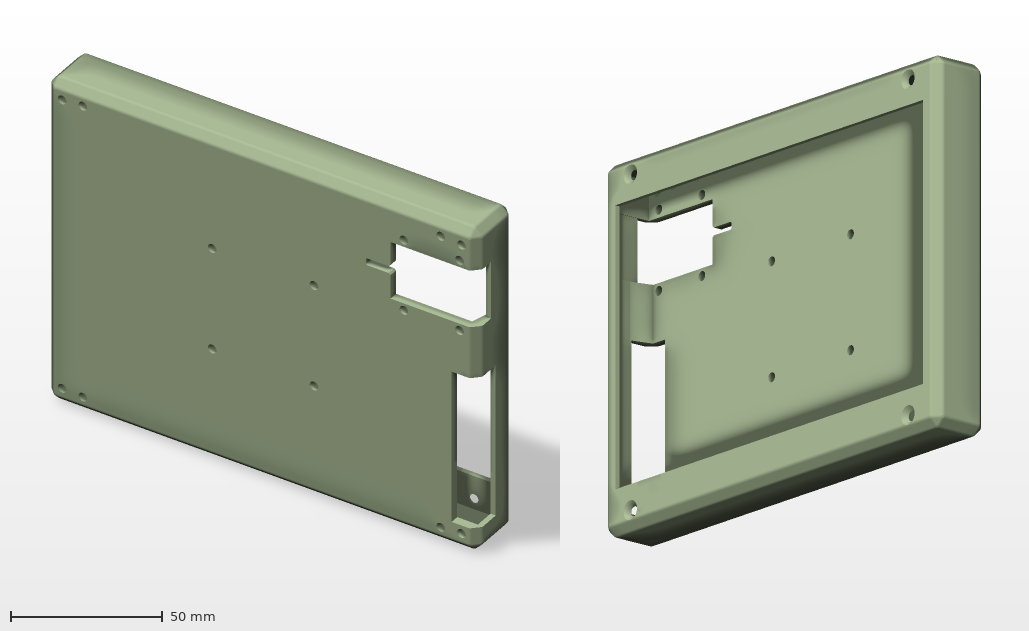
import cadquery as cq
LENGTH = 169.5
DEPTH = 22.0
HEIGHT = 128.5
EDGE_CHAMFER = 3.0
EDGE_ROUNDING = 1.5

BACK_THICKNESS = 3.4
WALL_THICKNESS = 2.0
LID_THICKNESS = 1.9

BACK_Y = -DEPTH / 2
FRONT_Y = DEPTH / 2
CAVITY_Y = BACK_Y + BACK_THICKNESS
SEAM_Y = FRONT_Y - LID_THICKNESS
INNER_WALL_X = LENGTH / 2 - WALL_THICKNESS

WINDOW_LENGTH = 156.0
WINDOW_HEIGHT = 98.0

HOLE_DIAMETER = 3.4
MOUNT_PITCH = 40.0
MOUNT_CENTRE_X = 0.5
CORNER_HOLE_X = 78.5
CORNER_HOLE_Z = 57.5
LID_SCREW_X = 70.3
LID_SCREW_Z = 58.0
COUNTERSINK_DIAMETER = 6.8

CONNECTOR_Z = 37.1
CONNECTOR_HEIGHT = 22.5
CONNECTOR_LEFT_X = 50.5
CONNECTOR_FLOOR_Y = -2.9
CONNECTOR_WALL_THICKNESS = 1.9
CONNECTOR_SCREW_X = 66.8
CONNECTOR_SCREW_PITCH_X = 21.9
CONNECTOR_SCREW_PITCH_Z = 28.0
SLIT_LEFT_X = 40.8
SLIT_WIDTH = 2.7
SLIT_END_ROUNDING = 0.7
SLIT_MOUTH_CHAMFER = 0.7

SIDE_OPENING_LEFT_X = 74.5
SIDE_OPENING_TOP_Z = 5.6
SIDE_OPENING_BOTTOM_Z = -54.2
SIDE_OPENING_FLOOR_Y = 0.0

PAD_THICKNESS = 2.2
PAD_END_Y = 0.5


def block(x_range, y_range, z_range):
    """Box between the given limits along each axis."""
    (x0, x1), (y0, y1), (z0, z1) = x_range, y_range, z_range
    return cq.Workplane("XY").box(x1 - x0, y1 - y0, z1 - z0, centered=False).translate((x0, y0, z0))


def rods(points, diameter, y0, y1):
    """Cylinders along Y at the given (x, z) points."""
    return (
        cq.Workplane("XZ", origin=(0, y0, 0))
        .pushPoints(points)
        .circle(diameter / 2)
        .extrude(y0 - y1)
    )


def grid(x_centre, x_pitch, z_centre, z_pitch):
    """Four (x, z) points on the corners of a rectangle."""
    return [
        (x_centre + i * x_pitch / 2, z_centre + k * z_pitch / 2)
        for i in (-1, 1)
        for k in (-1, 1)
    ]


LID_SCREWS = grid(0, 2 * LID_SCREW_X, 0, 2 * LID_SCREW_Z)


def case_envelope():
    """Closed outer shape with bevelled and rounded edges."""
    return (
        cq.Workplane("XY")
        .box(LENGTH, DEPTH, HEIGHT)
        .edges()
        .chamfer(EDGE_CHAMFER)
        .edges()
        .fillet(EDGE_ROUNDING)
    )


def wall_pad():
    """Wedge on the inside of the +X wall, thickest at the back plate."""
    bottom_z = SIDE_OPENING_TOP_Z
    top_z = CONNECTOR_Z - CONNECTOR_HEIGHT / 2
    return (
        cq.Workplane("XY", origin=(0, 0, bottom_z))
        .moveTo(INNER_WALL_X, PAD_END_Y)
        .lineTo(INNER_WALL_X, CAVITY_Y)
        .lineTo(INNER_WALL_X - PAD_THICKNESS, CAVITY_Y)
        .close()
        .extrude(top_z - bottom_z)
    )


def connector_opening():
    """Opening through the back and side wall, with a slit on its left and a relief inside the wall."""
    half = CONNECTOR_HEIGHT / 2
    opening = block(
        (CONNECTOR_LEFT_X, LENGTH),
        (BACK_Y, CONNECTOR_FLOOR_Y),
        (CONNECTOR_Z - half, CONNECTOR_Z + half),
    )
    wall_relief = block(
        (CONNECTOR_LEFT_X, LENGTH / 2 - CONNECTOR_WALL_THICKNESS),
        (CONNECTOR_FLOOR_Y, SEAM_Y),
        (CONNECTOR_Z - half, CONNECTOR_Z + half),
    )
    slit = block(
        (SLIT_LEFT_X, CONNECTOR_LEFT_X),
        (BACK_Y, CONNECTOR_FLOOR_Y),
        (CONNECTOR_Z - SLIT_WIDTH / 2, CONNECTOR_Z + SLIT_WIDTH / 2),
    )
    slit = slit.edges("|Y and <X").fillet(SLIT_END_ROUNDING)
    half_mouth = SLIT_WIDTH / 2 + SLIT_MOUTH_CHAMFER
    mouth = (
        cq.Workplane("XZ", origin=(0, BACK_Y, 0))
        .moveTo(CONNECTOR_LEFT_X, CONNECTOR_Z - half_mouth)
        .lineTo(CONNECTOR_LEFT_X, CONNECTOR_Z + half_mouth)
        .lineTo(CONNECTOR_LEFT_X - half_mouth, CONNECTOR_Z)
        .close()
        .extrude(BACK_Y - CONNECTOR_FLOOR_Y)
    )
    return opening.union(wall_relief).union(slit).union(mouth)


def side_opening():
    """Long opening through the back and the side wall."""
    return block(
        (SIDE_OPENING_LEFT_X, LENGTH),
        (BACK_Y, SIDE_OPENING_FLOOR_Y),
        (SIDE_OPENING_BOTTOM_Z, SIDE_OPENING_TOP_Z),
    )


def back_holes():
    """All the round holes through the back plate."""
    points = (
        LID_SCREWS
        + grid(MOUNT_CENTRE_X, MOUNT_PITCH, 0, MOUNT_PITCH)
        + grid(0, 2 * CORNER_HOLE_X, 0, 2 * CORNER_HOLE_Z)
        + grid(CONNECTOR_SCREW_X, CONNECTOR_SCREW_PITCH_X, CONNECTOR_Z, CONNECTOR_SCREW_PITCH_Z)
    )
    return rods(points, HOLE_DIAMETER, BACK_Y, CAVITY_Y)


def make_housing():
    """Tray with the back plate and the four side walls."""
    tray = case_envelope().intersect(
        block((-LENGTH, LENGTH), (BACK_Y, SEAM_Y), (-HEIGHT, HEIGHT))
    )
    half_height = HEIGHT / 2 - WALL_THICKNESS
    cavity = block(
        (-INNER_WALL_X, INNER_WALL_X),
        (CAVITY_Y, SEAM_Y),
        (-half_height, half_height),
    )
    return (
        tray.cut(cavity)
        .union(wall_pad())
        .cut(connector_opening())
        .cut(side_opening())
        .cut(back_holes())
    )


def countersinks():
    """Cones that open the lid screw holes at the front face."""
    cone_depth = (COUNTERSINK_DIAMETER - HOLE_DIAMETER) / 2
    cone = cq.Solid.makeCone(
        HOLE_DIAMETER / 2,
        COUNTERSINK_DIAMETER / 2,
        cone_depth,
        pnt=cq.Vector(0, FRONT_Y - cone_depth, 0),
        dir=cq.Vector(0, 1, 0),
    )
    places = [cq.Location(cq.Vector(x, 0, z)) for x, z in LID_SCREWS]
    return cq.Compound.makeCompound([cone.moved(place) for place in places])


def make_lid():
    """Front frame around the display window."""
    plate = case_envelope().intersect(
        block((-LENGTH, LENGTH), (SEAM_Y, FRONT_Y), (-HEIGHT, HEIGHT))
    )
    window = cq.Workplane("XY").box(WINDOW_LENGTH, 2 * DEPTH, WINDOW_HEIGHT)
    return (
        plate.cut(window)
        .cut(rods(LID_SCREWS, HOLE_DIAMETER, SEAM_Y, FRONT_Y))
        .cut(cq.Workplane(countersinks()))
    )


housing = make_housing()
lid = make_lid()
result = cq.Compound.makeCompound([housing.solids().val(), lid.solids().val()])